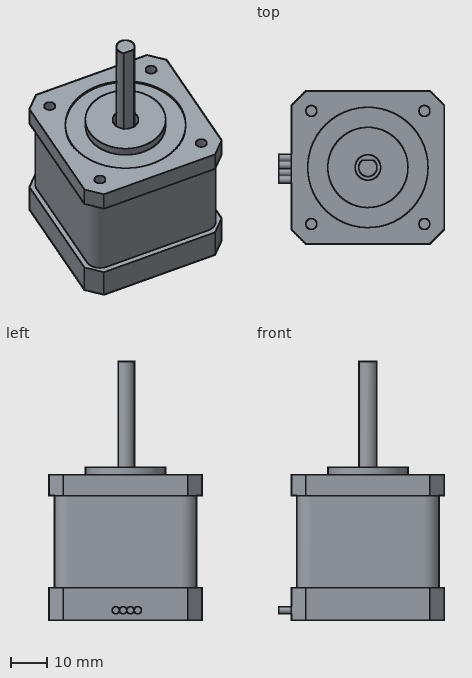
import cadquery as cq
import math


cap_width = 42.0
cap_chamfer = 4.0
rear_cap_height = 9.0
front_cap_top = 40.0

body_width = 39.0
body_corner_radius = 4.0
body_top = 34.25

recess_diameter = 33.0
recess_depth = 0.5
boss_diameter = 22.0
boss_height = 2.0
bore_diameter = 7.0
hole_diameter = 3.0
hole_pitch = 31.0

shaft_diameter = 5.0
shaft_flat_offset = 2.0
shaft_top = 71.0

wire_count = 4
wire_diameter = 2.0
wire_pitch = 2.0
wire_length = 3.5
wire_row_center_y = -0.35
wire_height = 2.8

boss_top = front_cap_top + boss_height
recess_floor = front_cap_top - recess_depth
front_cap_height = front_cap_top - body_top


def square_block(width, bottom, height):
    """Square prism centred on the motor axis."""
    return cq.Workplane("XY").workplane(offset=bottom).rect(width, width).extrude(height)


def disc(diameter, bottom, height):
    """Cylinder on the motor axis."""
    return cq.Workplane("XY").workplane(offset=bottom).circle(diameter / 2).extrude(height)


def end_cap(bottom, height):
    return square_block(cap_width, bottom, height).edges("|Z").chamfer(cap_chamfer)


def motor_body():
    body = square_block(body_width, rear_cap_height, body_top - rear_cap_height)
    return body.edges("|Z").fillet(body_corner_radius)


def front_cap():
    cap = end_cap(body_top, front_cap_height)
    cap = cap.cut(disc(recess_diameter, recess_floor, recess_depth))
    cap = cap.union(disc(boss_diameter, recess_floor, boss_top - recess_floor))
    cap = cap.cut(disc(bore_diameter, body_top, boss_top - body_top))
    mounting_holes = (
        cq.Workplane("XY")
        .workplane(offset=body_top)
        .rect(hole_pitch, hole_pitch, forConstruction=True)
        .vertices()
        .circle(hole_diameter / 2)
        .extrude(front_cap_height)
    )
    return cap.cut(mounting_holes)


def output_shaft():
    """D-shaped shaft, running down to the front of the body."""
    radius = shaft_diameter / 2
    flat_half_width = math.sqrt(radius**2 - shaft_flat_offset**2)
    return (
        cq.Workplane("XY")
        .workplane(offset=body_top)
        .moveTo(flat_half_width, shaft_flat_offset)
        .threePointArc((0, -radius), (-flat_half_width, shaft_flat_offset))
        .close()
        .extrude(shaft_top - body_top)
    )


def lead_wire(index):
    y = wire_row_center_y + (index - (wire_count - 1) / 2) * wire_pitch
    return (
        cq.Workplane("YZ")
        .workplane(offset=-cap_width / 2)
        .center(y, wire_height)
        .circle(wire_diameter / 2)
        .extrude(-wire_length)
    )


result = end_cap(0, rear_cap_height)
result = result.union(motor_body())
result = result.union(front_cap())
result = result.union(output_shaft())
for wire_index in range(wire_count):
    result = result.union(lead_wire(wire_index))